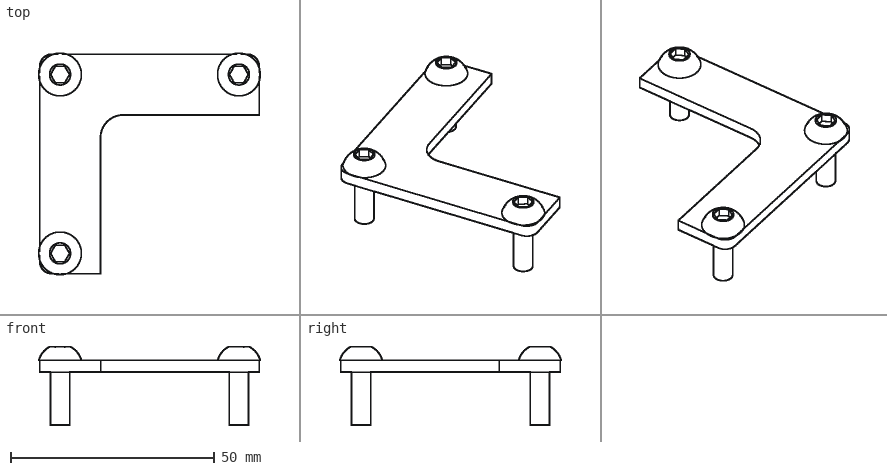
import cadquery as cq
import math

screw_pitch = 44.0
shank_diameter = 4.8
shank_length = 16.0
head_diameter = 10.5
head_crown_diameter = 5.2
head_height = 3.25
socket_across_flats = 4.05
socket_depth = 2.05

plate_thickness = 3.0
plate_margin = 5.0
leg_width = 15.0
outer_corner_radius = 3.0
inner_corner_radius = 5.55

plate_size = screw_pitch + 2 * plate_margin
half_plate = plate_size / 2
half_pitch = screw_pitch / 2
inner_edge = half_plate - leg_width

screw_positions = [
    (-half_pitch, -half_pitch),
    (-half_pitch, half_pitch),
    (half_pitch, half_pitch),
]


def make_plate():
    """L-shaped plate with rounded outer corners and a matching hole for each screw."""
    plate = (
        cq.Workplane("XY")
        .moveTo(-half_plate, -half_plate)
        .lineTo(-inner_edge, -half_plate)
        .lineTo(-inner_edge, inner_edge)
        .lineTo(half_plate, inner_edge)
        .lineTo(half_plate, half_plate)
        .lineTo(-half_plate, half_plate)
        .close()
        .extrude(-plate_thickness)
    )
    for x, y in screw_positions:
        corner = (math.copysign(half_plate, x), math.copysign(half_plate, y), -plate_thickness / 2)
        plate = plate.edges(cq.NearestToPointSelector(corner)).fillet(outer_corner_radius)
    inner_corner = (-inner_edge, inner_edge, -plate_thickness / 2)
    plate = plate.edges(cq.NearestToPointSelector(inner_corner)).fillet(inner_corner_radius)
    holes = (
        cq.Workplane("XY")
        .pushPoints(screw_positions)
        .circle(shank_diameter / 2)
        .extrude(-plate_thickness)
    )
    return plate.cut(holes)


def make_screw(x, y):
    """Screw with a spherical button head resting on the plate and a hexagon socket."""
    head_radius = head_diameter / 2
    crown_radius = head_crown_diameter / 2
    shank_radius = shank_diameter / 2

    dome_center = (crown_radius**2 + head_height**2 - head_radius**2) / (2 * head_height)
    dome_radius = math.hypot(head_radius, dome_center)
    dome_mid_height = head_height / 2
    dome_mid_radius = math.sqrt(dome_radius**2 - (dome_mid_height - dome_center) ** 2)

    screw = (
        cq.Workplane("XZ")
        .moveTo(0, -shank_length)
        .lineTo(shank_radius, -shank_length)
        .lineTo(shank_radius, 0)
        .lineTo(head_radius, 0)
        .threePointArc((dome_mid_radius, dome_mid_height), (crown_radius, head_height))
        .lineTo(0, head_height)
        .close()
        .revolve(360, (0, 0), (0, 1))
    )
    socket_across_corners = socket_across_flats / math.cos(math.pi / 6)
    socket = (
        cq.Workplane("XY")
        .workplane(offset=head_height)
        .polygon(6, socket_across_corners)
        .extrude(-socket_depth)
    )
    return screw.cut(socket).translate((x, y, 0))


plate = make_plate()
screws = [make_screw(x, y) for x, y in screw_positions]

result = cq.Compound.makeCompound([plate.val(), *[screw.val() for screw in screws]])